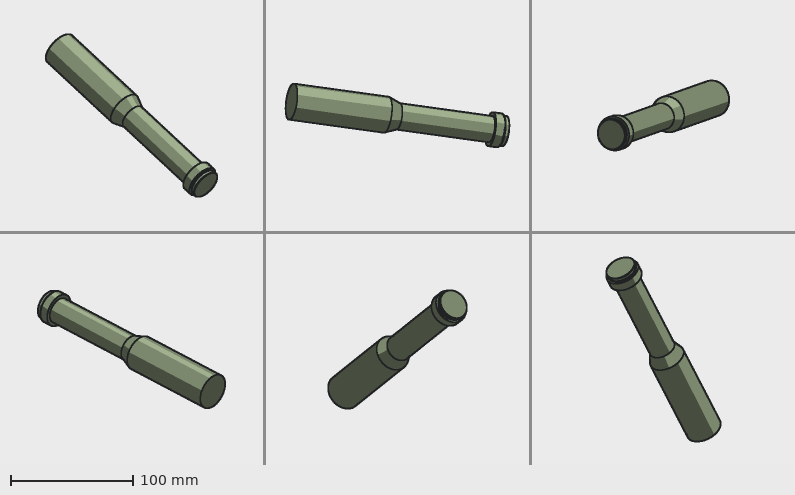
import cadquery as cq

total_length = 184.9

handle_diameter = 30.0
shaft_diameter = 22.0
flange_diameter = 28.3
groove_diameter = 24.4
tip_diameter = 25.3

handle_end = 82.1
taper_end = 92.5
flange_start = 172.7

flange_width = 7.8
groove_width = 1.1
tip_chamfer = 0.4

flange_end = flange_start + flange_width
tip_start = flange_end + groove_width


def cylinder(start, end, diameter):
    """Solid cylinder about the X axis between two axial stations."""
    return cq.Workplane("YZ", origin=(start, 0, 0)).circle(diameter / 2).extrude(end - start)


def taper():
    """Cone that narrows from the handle to the shaft."""
    profile = [
        (handle_end, 0),
        (handle_end, handle_diameter / 2),
        (taper_end, shaft_diameter / 2),
        (taper_end, 0),
    ]
    return cq.Workplane("XY").polyline(profile).close().revolve(360, (0, 0, 0), (1, 0, 0))


handle = cylinder(0, handle_end, handle_diameter)
shaft = cylinder(taper_end, flange_start, shaft_diameter)
flange = cylinder(flange_start, flange_end, flange_diameter)
groove = cylinder(flange_end, tip_start, groove_diameter)
tip = cylinder(tip_start, total_length, tip_diameter).faces(">X").chamfer(tip_chamfer)

result = handle.union(taper()).union(shaft).union(flange).union(groove).union(tip)